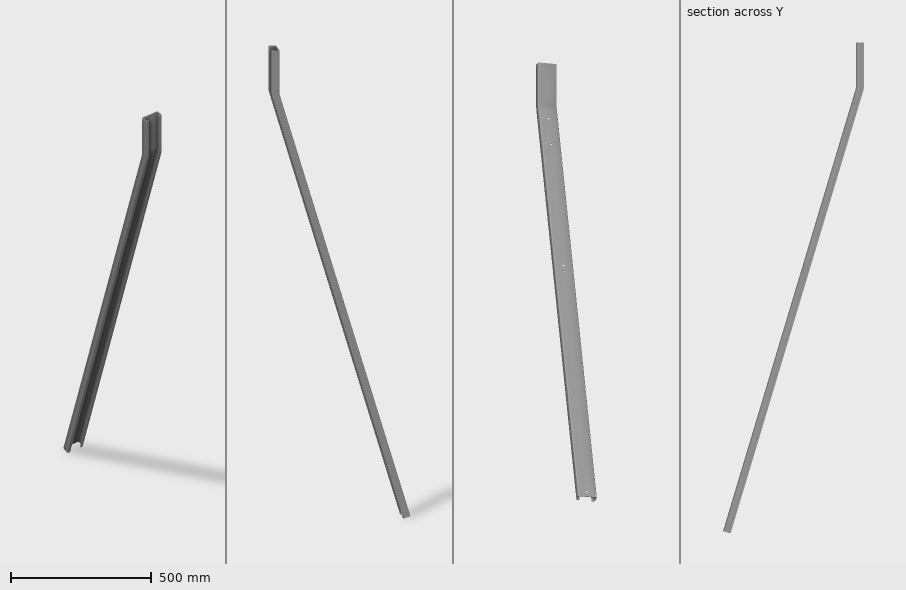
import cadquery as cq
import math

overall_length = 500.0
overall_height = 1745.0

section_width = 70.0
section_depth = 28.0
wall = 3.0
lip_length = 12.0
corner_radius = 4.4

crank_height = 1584.0
crank_radius = 35.0

web_holes = [
    (1537.0, 9.0),
    (1432.0, 6.1),
    (944.0, 9.0),
    (920.0, 6.1),
    (28.0, 9.0),
]

web_x = overall_length - section_depth
lean = math.atan2(web_x, crank_height)
for _ in range(10):
    foot_height = section_depth * math.sin(lean)
    lean = math.atan2(web_x, crank_height - foot_height)


def leg_point(distance):
    """Point on the web face line, at a distance below the crank corner."""
    return (web_x - distance * math.sin(lean), crank_height - distance * math.cos(lean))


def make_path():
    """Web face centreline: straight head, crank bend, leaning leg."""
    tangent = crank_radius * math.tan(lean / 2)
    sagitta_gap = crank_radius * (1 / math.cos(lean / 2) - 1)
    bend_middle = (
        web_x - sagitta_gap * math.cos(lean / 2),
        crank_height + sagitta_gap * math.sin(lean / 2),
    )
    return (
        cq.Workplane("XZ")
        .moveTo(web_x, overall_height)
        .lineTo(web_x, crank_height + tangent)
        .threePointArc(bend_middle, leg_point(tangent))
        .lineTo(0, foot_height)
    )


def sweep_block(width, near, far, radius):
    """Sweep a rectangle lying near..far behind the web face, rounding its corners."""
    section = (
        cq.Sketch()
        .push([(web_x + (near + far) / 2, 0)])
        .rect(far - near, width)
        .reset()
        .vertices()
        .fillet(radius)
    )
    return (
        cq.Workplane("XY", origin=(0, 0, overall_height))
        .placeSketch(section)
        .sweep(make_path())
    )


def sweep_opening():
    """Sweep the mouth between the two lips."""
    mouth = section_width - 2 * lip_length
    return (
        cq.Workplane("XY", origin=(web_x + section_depth, 0, overall_height))
        .rect(section_depth, mouth)
        .sweep(make_path())
    )


def web_hole(height, diameter):
    """Cylinder square to the leaning web at the given height."""
    center_x, center_z = leg_point((crank_height - height) / math.cos(lean))
    axis = cq.Vector(math.cos(lean), 0, -math.sin(lean))
    start = cq.Vector(center_x, 0, center_z) - axis * wall
    return cq.Solid.makeCylinder(diameter / 2, 3 * wall, start, axis)


outside = sweep_block(section_width, 0, section_depth, corner_radius)
cavity = sweep_block(section_width - 2 * wall, wall, section_depth - wall, corner_radius - wall)
result = outside.cut(cavity).cut(sweep_opening()).clean()
for hole_height, hole_diameter in web_holes:
    result = result.cut(cq.Workplane(web_hole(hole_height, hole_diameter)))